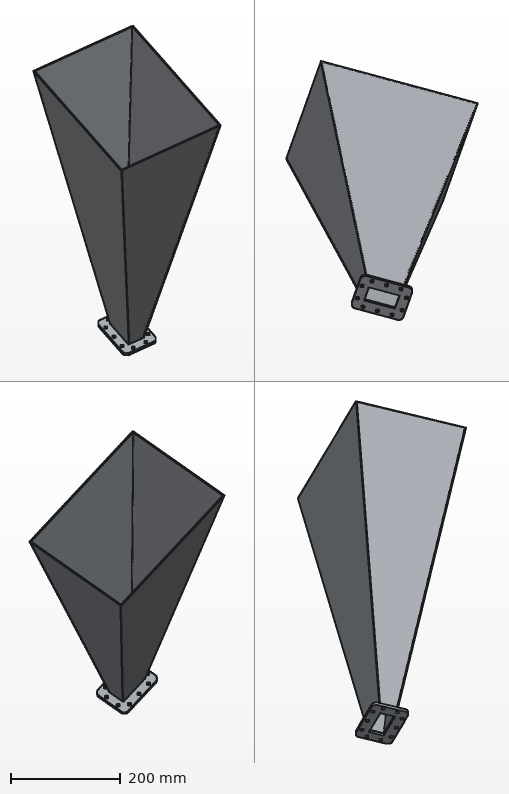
import cadquery as cq

HEIGHT = 616.0
MOUTH_X = 299.0
MOUTH_Y = 215.0
WALL = 2.3

FLANGE_X = 98.5
FLANGE_Y = 71.0
FLANGE_THICKNESS = 6.0
CORNER_RADIUS = 9.0
OPENING_X = 58.5
OPENING_Y = 29.0

HOLE_DIAMETER = 6.0
LONG_SIDE_PITCH = 28.0
LONG_SIDE_OFFSET = 28.5
SHORT_SIDE_PITCH = 27.0
SHORT_SIDE_OFFSET = 42.5

THROAT_X = OPENING_X + 2 * WALL
THROAT_Y = OPENING_Y + 2 * WALL
HORN_HEIGHT = HEIGHT - FLANGE_THICKNESS


def bolt_positions():
    """Centres of the ten bolt holes around the opening."""
    points = []
    for side in (-1, 1):
        for step in (-1, 0, 1):
            points.append((step * LONG_SIDE_PITCH, side * LONG_SIDE_OFFSET))
        for step in (-0.5, 0.5):
            points.append((side * SHORT_SIDE_OFFSET, step * SHORT_SIDE_PITCH))
    return points


def make_flange():
    """Rounded plate with the waveguide opening and bolt holes."""
    plate = cq.Workplane("XY").rect(FLANGE_X, FLANGE_Y).extrude(FLANGE_THICKNESS)
    plate = plate.edges("|Z").fillet(CORNER_RADIUS)
    top = plate.faces(">Z").workplane()
    plate = top.rect(OPENING_X, OPENING_Y).cutThruAll()
    top = plate.faces(">Z").workplane()
    return top.pushPoints(bolt_positions()).hole(HOLE_DIAMETER)


def make_frustum(throat_x, throat_y, mouth_x, mouth_y):
    """Solid pyramid stump from the flange top up to the mouth."""
    base = cq.Workplane("XY", origin=(0, 0, FLANGE_THICKNESS)).rect(throat_x, throat_y)
    return base.workplane(offset=HORN_HEIGHT).rect(mouth_x, mouth_y).loft(ruled=True)


def make_wide_panel(side):
    """Full-width wall on the -Y (side = -1) or +Y (side = 1) face."""
    outer = make_frustum(THROAT_X, THROAT_Y, MOUTH_X, MOUTH_Y)
    core = make_frustum(THROAT_X, OPENING_Y, MOUTH_X, MOUTH_Y - 2 * WALL)
    walls = outer.cut(core)
    return walls.solids(">Y" if side > 0 else "<Y")


def make_side_panel(side):
    """Wall fitted between the wide panels on the -X (side = -1) or +X (side = 1) face."""
    inner_mouth_y = MOUTH_Y - 2 * WALL
    outer = make_frustum(THROAT_X, OPENING_Y, MOUTH_X, inner_mouth_y)
    cavity = make_frustum(OPENING_X, OPENING_Y, MOUTH_X - 2 * WALL, inner_mouth_y)
    walls = outer.cut(cavity)
    return walls.solids(">X" if side > 0 else "<X")


flange = make_flange()
wide_panels = [make_wide_panel(side) for side in (-1, 1)]
side_panels = [make_side_panel(side) for side in (-1, 1)]

bodies = [flange] + wide_panels + side_panels
result = cq.Compound.makeCompound([body.val() for body in bodies])